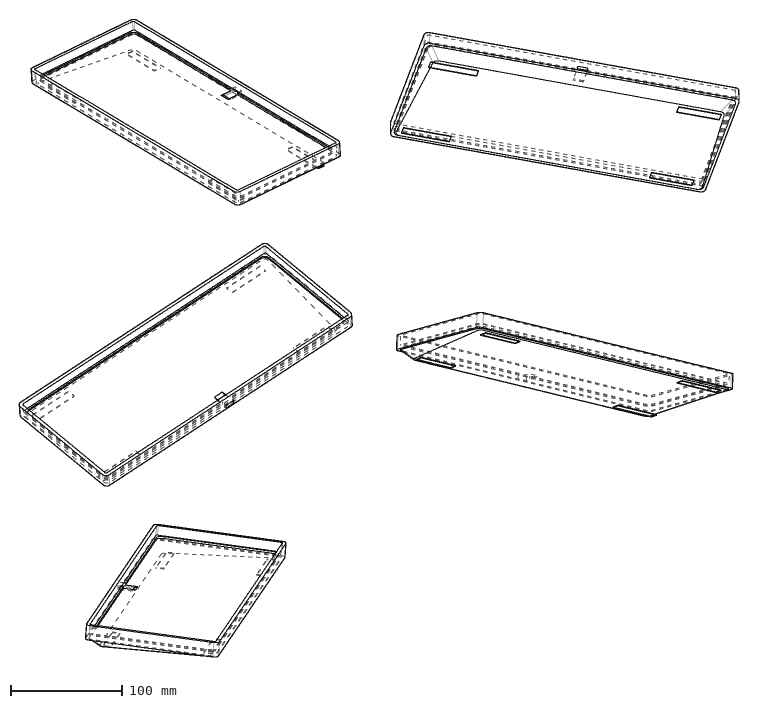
import cadquery as cq
import math

TILT = 4.0
TRAY_X = 293.0
TRAY_Y = 122.2
TRAY_H = 13.8
CORNER_R = 4.0

WALL = 3.2
RECESS_CORNER_R = 1.2
RECESS_DEPTH = 9.0
LEDGE = 1.8
FLOOR_DEPTH = 10.8
FLOOR_CORNER_R = 5.3

WEDGE_INSET = 2.5
WEDGE_SLOPE = 45.0
FRONT_DROP = 1.0

CHANNEL_X = 9.5
CHANNEL_Y = 13.0
CHANNEL_DEPTH = 1.8
CHANNEL_EDGE_R = 1.0
CHANNEL_RAMP = 3.2

FOOT_Y = 7.3
FOOT_H = 0.5
FEET_INNER_X = 93.2
LEFT_FOOT_X = 39.5
RIGHT_FOOT_X = 44.5
FOOT_CENTERS_Y = (-49.2, 43.5)

recess_x = TRAY_X - 2 * WALL
recess_y = TRAY_Y - 2 * WALL
floor_z = TRAY_H - FLOOR_DEPTH

tilt_angle = math.radians(TILT)
base_z = -TRAY_Y / 2 * math.sin(tilt_angle) - FRONT_DROP


def rounded_block(size_x, size_y, corner_r, top_z, depth):
    """Block with rounded upright edges, reaching down from top_z."""
    return (
        cq.Workplane("XY", origin=(0, 0, top_z - depth))
        .rect(size_x, size_y)
        .extrude(depth)
        .edges("|Z")
        .fillet(corner_r)
    )


def make_tray():
    return rounded_block(TRAY_X, TRAY_Y, CORNER_R, TRAY_H, TRAY_H)


def make_wedge_stock():
    """Block under the tray with inward-sloping sides, deep enough to reach the base everywhere."""
    depth = TRAY_Y * math.sin(tilt_angle) + 2 * FRONT_DROP
    shrink = 2 * depth * math.tan(math.radians(WEDGE_SLOPE))
    top_x = TRAY_X - 2 * WEDGE_INSET
    top_y = TRAY_Y - 2 * WEDGE_INSET
    top = cq.Sketch().rect(top_x, top_y).vertices().fillet(CORNER_R)
    bottom = cq.Sketch().rect(top_x - shrink, top_y - shrink).vertices().fillet(CORNER_R)
    return (
        cq.Workplane("XY")
        .placeSketch(top, bottom.moved(cq.Location(cq.Vector(0, 0, -depth))))
        .loft(ruled=True)
    )


def make_cavity():
    recess = rounded_block(recess_x, recess_y, RECESS_CORNER_R, TRAY_H, RECESS_DEPTH)
    well = rounded_block(
        recess_x - 2 * LEDGE, recess_y - 2 * LEDGE, FLOOR_CORNER_R, TRAY_H, FLOOR_DEPTH
    )
    return recess.union(well)


def make_channel():
    """Channel out through the back wall, with rounded lower edges and a ramp up to the floor."""
    front_y = recess_y / 2 - CHANNEL_Y
    ramp_foot_y = front_y + CHANNEL_RAMP
    bottom_z = floor_z - CHANNEL_DEPTH
    top_z = TRAY_H - RECESS_DEPTH
    passage = (
        cq.Workplane("XZ", origin=(0, TRAY_Y / 2, 0))
        .center(0, (top_z + bottom_z) / 2)
        .rect(CHANNEL_X, top_z - bottom_z)
        .extrude(TRAY_Y / 2 - ramp_foot_y)
        .edges("|Y and <Z")
        .fillet(CHANNEL_EDGE_R)
    )
    ramp = (
        cq.Workplane("YZ")
        .polyline([(ramp_foot_y, bottom_z), (front_y, floor_z), (ramp_foot_y, floor_z)])
        .close()
        .extrude(CHANNEL_X / 2, both=True)
    )
    return passage.union(ramp)


def make_feet_pair(center_x, size_x):
    """Front and back foot on one side."""
    return (
        cq.Workplane("XY", origin=(0, 0, base_z - FOOT_H))
        .pushPoints([(center_x, y) for y in FOOT_CENTERS_Y])
        .rect(size_x, FOOT_Y)
        .extrude(FOOT_H)
    )


shell = make_tray().union(make_wedge_stock()).cut(make_cavity()).cut(make_channel())
tilted_shell = shell.rotate((0, 0, 0), (1, 0, 0), TILT)

below_base = (
    cq.Workplane("XY", origin=(0, 0, base_z)).rect(2 * TRAY_X, 2 * TRAY_Y).extrude(-TRAY_Y)
)
base = tilted_shell.cut(below_base)

left_feet = make_feet_pair(-FEET_INNER_X - LEFT_FOOT_X / 2, LEFT_FOOT_X)
right_feet = make_feet_pair(FEET_INNER_X + RIGHT_FOOT_X / 2, RIGHT_FOOT_X)
result = base.union(left_feet).union(right_feet)